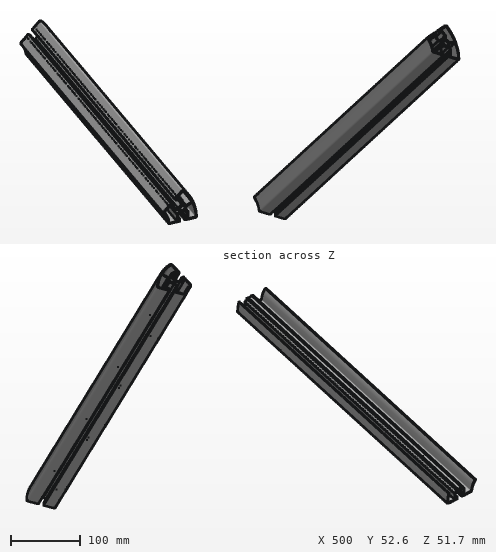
import cadquery as cq
import math

length = 500.0
bend_angle = 45.0
outer_radius = 75.0
inner_radius = 30.0
wall = 1.75
corner_radius = 3.0
core_diameter = 12.5
core_hole_diameter = 7.5

mid_radius = (outer_radius + inner_radius) / 2
web_length = outer_radius - mid_radius
face_distance = mid_radius * math.tan(math.radians(bend_angle / 2))
bend_x = mid_radius
bend_z = -face_distance

slot_opening_width = 8.0
slot_width = 14.5
slot_floor = 6.0
slot_chamfer = 3.25
lip_depth = 4.5
lip_start = face_distance - lip_depth

section = cq.Plane(origin=(length / 2, 0, 0), xDir=(0, -1, 0), normal=(-1, 0, 0))
core_axis = ((0, 0, 0), (1, 0, 0))


def ring_point(radius, degrees):
    """Point on a circle about the bend centre, swept up from the bottom face."""
    angle = math.radians(180 - degrees)
    return (bend_x + radius * math.cos(angle), bend_z + radius * math.sin(angle))


def ring_sector(inset=0.0):
    """Rounded ring sector whose whole boundary is moved inwards by the inset."""
    outer = outer_radius - inset
    inner = inner_radius + inset
    outer_trim = math.degrees(math.asin(inset / outer))
    inner_trim = math.degrees(math.asin(inset / inner))
    outer_corners = [ring_point(outer, outer_trim), ring_point(outer, bend_angle - outer_trim)]
    inner_corners = [ring_point(inner, bend_angle - inner_trim), ring_point(inner, inner_trim)]
    sector = (
        cq.Workplane(section)
        .moveTo(*outer_corners[0])
        .threePointArc(ring_point(outer, bend_angle / 2), outer_corners[1])
        .lineTo(*inner_corners[0])
        .threePointArc(ring_point(inner, bend_angle / 2), inner_corners[1])
        .close()
        .extrude(length)
    )
    return round_corners(sector, outer_corners + inner_corners, corner_radius - inset)


def round_corners(shape, corners, radius):
    """Fillet the lengthwise edges at the given section points."""
    for x, z in corners:
        edge = cq.selectors.NearestToPointSelector((0, -x, z))
        shape = shape.edges("|X").edges(edge).fillet(radius)
    return shape


def slot_outline(width, floor, chamfer, mouth):
    """Downward-opening channel with a chamfered floor."""
    half_width = width / 2
    return (
        cq.Workplane(section)
        .moveTo(-half_width, -mouth)
        .lineTo(-half_width, -floor - chamfer)
        .lineTo(-half_width + chamfer, -floor)
        .lineTo(half_width - chamfer, -floor)
        .lineTo(half_width, -floor - chamfer)
        .lineTo(half_width, -mouth)
        .close()
        .extrude(length)
    )


def slot_housing():
    chamfer = slot_chamfer + wall * (2 - math.sqrt(2))
    return slot_outline(slot_width + 2 * wall, slot_floor - wall, chamfer, face_distance)


def slot_void():
    opening_depth = face_distance - slot_floor - slot_chamfer
    opening = (
        cq.Workplane(section)
        .center(0, -face_distance + opening_depth / 2)
        .rect(slot_opening_width, opening_depth)
        .extrude(length)
    )
    return slot_outline(slot_width, slot_floor, slot_chamfer, lip_start).union(opening)


def at_upper_face(shape):
    """Turn a bottom-slot shape about the core so that it faces the upper flat."""
    return shape.rotate(*core_axis, -(180 - bend_angle))


def web():
    """Straight web from the core to the middle of the outer curved wall."""
    plate = (
        cq.Workplane(section)
        .center(-web_length / 2, 0)
        .rect(web_length, wall)
        .extrude(length)
    )
    return plate.rotate(*core_axis, bend_angle / 2)


housing = slot_housing()
core = cq.Workplane(section).circle(core_diameter / 2).extrude(length)
core_hole = cq.Workplane(section).circle(core_hole_diameter / 2).extrude(length)
cavities = ring_sector(wall).cut(housing).cut(at_upper_face(housing)).cut(core).cut(web())

slot = slot_void()
result = ring_sector().cut(cavities).cut(slot).cut(at_upper_face(slot)).cut(core_hole)